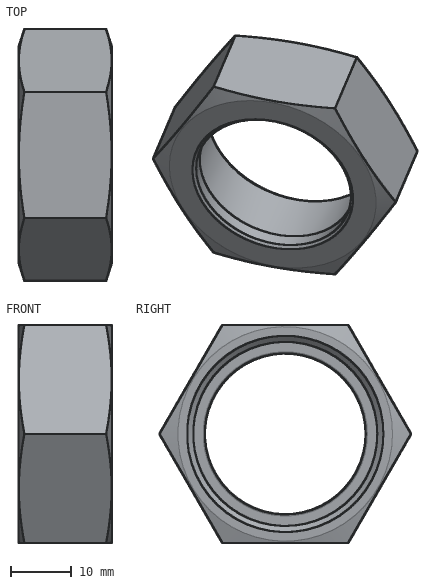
import cadquery as cq
import math

thickness = 15.5
across_flats = 36.0
hexagon_sides = 6
bore_diameter = 26.5
bore_mouth_diameter = 27.5
bore_chamfer_length = 0.5
face_diameter = 35.4
corner_chamfer_angle = 18.0
lip_length = 3.0
lip_edge_radius = 0.3
socket_diameter = 30.38
socket_mouth_diameter = 32.4
socket_chamfer_length = 1.0

half_thickness = thickness / 2
across_corners = across_flats / math.cos(math.pi / hexagon_sides)
lip_end = -half_thickness + lip_length


def revolve_about_x(profile_points):
    """Revolve an (axial, radial) outline a full turn about the X axis."""
    outline = cq.Workplane("XY").polyline(profile_points).close()
    return outline.revolve(360, (0, 0, 0), (1, 0, 0))


def hexagon_body():
    """Hexagonal prism with corners on +Y and -Y and flats on +Z and -Z."""
    return (
        cq.Workplane("YZ")
        .polygon(hexagon_sides, across_corners)
        .extrude(half_thickness, both=True)
    )


def corner_chamfer_envelope():
    """Turned blank whose conical ends trim the hexagon corners."""
    face_radius = face_diameter / 2
    corner_radius = across_corners / 2
    cone_length = (corner_radius - face_radius) * math.tan(math.radians(corner_chamfer_angle))
    cone_start = half_thickness - cone_length
    return revolve_about_x([
        (-half_thickness, 0),
        (-half_thickness, face_radius),
        (-cone_start, corner_radius),
        (cone_start, corner_radius),
        (half_thickness, face_radius),
        (half_thickness, 0),
    ])


def stepped_bore():
    """Through bore: a narrow lip at the -X end opening into a wider socket at the +X end."""
    bore_radius = bore_diameter / 2
    socket_radius = socket_diameter / 2
    bore_chamfer_end = -half_thickness + bore_chamfer_length
    socket_chamfer_start = half_thickness - socket_chamfer_length
    return revolve_about_x([
        (-half_thickness, 0),
        (-half_thickness, bore_mouth_diameter / 2),
        (bore_chamfer_end, bore_radius),
        (lip_end, bore_radius),
        (lip_end, socket_radius),
        (socket_chamfer_start, socket_radius),
        (half_thickness, socket_mouth_diameter / 2),
        (half_thickness, 0),
    ])


def round_lip_edge(nut):
    """Round the inner edge of the lip where it opens into the socket."""
    reach = bore_diameter / 2 + lip_edge_radius
    edge_zone = cq.selectors.BoxSelector(
        (lip_end - lip_edge_radius, -reach, -reach),
        (lip_end + lip_edge_radius, reach, reach),
        boundingbox=True,
    )
    return nut.edges(edge_zone).fillet(lip_edge_radius)


nut_blank = hexagon_body().intersect(corner_chamfer_envelope())
result = round_lip_edge(nut_blank.cut(stepped_bore()))